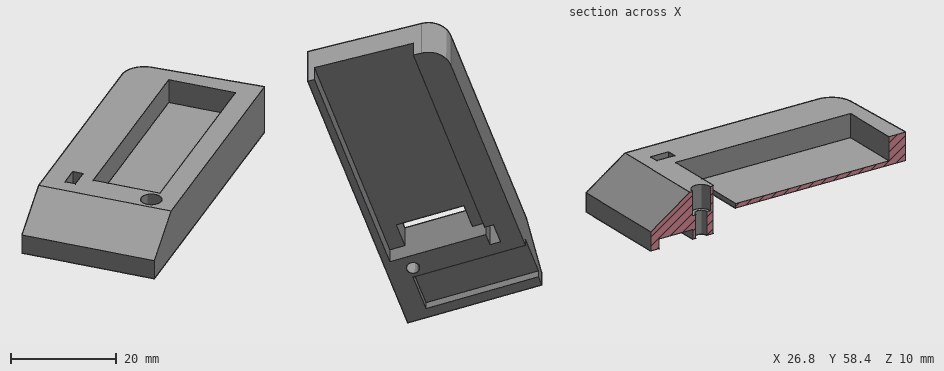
import cadquery as cq

WIDTH = 26.82
LENGTH = 58.44
HEIGHT = 10.0
LEFT = -WIDTH / 2
RIGHT = WIDTH / 2
FRONT = -LENGTH / 2
BACK = LENGTH / 2

BACK_EDGE_DROP = 1.05
CORNER_RADIUS = 4.5

NOSE_LENGTH = 8.9
NOSE_LIP_HEIGHT = 4.0

POCKET_WIDTH = 13.5
POCKET_LENGTH = 40.0
POCKET_DEPTH = 5.0
POCKET_RIGHT = RIGHT - 4.35
POCKET_LEFT = POCKET_RIGHT - POCKET_WIDTH
POCKET_FRONT = FRONT + 14.35
WINDOW_LENGTH = 5.0
CHANNEL_HEIGHT = 4.0
CHANNEL_SIDE_MARGIN = 3.0

SLOT_WIDTH = 2.1
SLOT_LENGTH = 4.1
SLOT_LEFT = LEFT + 4.2
SLOT_FRONT = FRONT + 11.9

SCREW_DIAMETER = 2.5
SCREW_HEAD_DIAMETER = 4.0
SCREW_HEAD_DEPTH = 5.0
SCREW_X = RIGHT - 5.05
SCREW_Y = FRONT + 11.6

GROOVE_FRONT = FRONT + 2.0
GROOVE_LENGTH = 7.6
GROOVE_HEIGHT = 2.0
GROOVE_END = POCKET_RIGHT


def box_between(x_range, y_range, z_range):
    """Box spanning the given (low, high) ranges."""
    lows, highs = zip(x_range, y_range, z_range)
    sizes = [high - low for low, high in zip(lows, highs)]
    return cq.Workplane("XY").box(*sizes, centered=False).translate(lows)


def make_body():
    """Block with a slanted back edge and one rounded back corner."""
    outline = [
        (LEFT, FRONT),
        (RIGHT, FRONT),
        (RIGHT, BACK),
        (LEFT, BACK - BACK_EDGE_DROP),
    ]
    block = cq.Workplane("XY").polyline(outline).close().extrude(HEIGHT)
    return block.edges("|Z").edges("<X").edges(">Y").fillet(CORNER_RADIUS)


def make_nose_cut():
    """Wedge above the sloped nose."""
    wedge = [
        (FRONT, NOSE_LIP_HEIGHT),
        (FRONT + NOSE_LENGTH, HEIGHT),
        (FRONT, HEIGHT),
    ]
    return cq.Workplane("YZ", origin=(LEFT, 0, 0)).polyline(wedge).close().extrude(WIDTH)


def make_pocket():
    """Top pocket, the window at its front end and the channel running out of the back."""
    x_range = (POCKET_LEFT, POCKET_RIGHT)
    channel_x_range = (POCKET_LEFT - CHANNEL_SIDE_MARGIN, POCKET_RIGHT + CHANNEL_SIDE_MARGIN)
    pocket_back = POCKET_FRONT + POCKET_LENGTH
    window_back = POCKET_FRONT + WINDOW_LENGTH
    pocket = box_between(x_range, (POCKET_FRONT, pocket_back), (HEIGHT - POCKET_DEPTH, HEIGHT))
    window = box_between(x_range, (POCKET_FRONT, window_back), (0, HEIGHT))
    channel = box_between(channel_x_range, (POCKET_FRONT, BACK), (0, CHANNEL_HEIGHT))
    return pocket.union(window).union(channel)


def make_slot():
    """Rectangular slot through the full height."""
    return box_between(
        (SLOT_LEFT, SLOT_LEFT + SLOT_WIDTH),
        (SLOT_FRONT, SLOT_FRONT + SLOT_LENGTH),
        (0, HEIGHT),
    )


def make_screw_hole():
    """Through hole with a counterbore from the top."""
    plane = cq.Workplane("XY", origin=(SCREW_X, SCREW_Y, 0))
    shank = plane.circle(SCREW_DIAMETER / 2).extrude(HEIGHT)
    head = plane.workplane(offset=HEIGHT).circle(SCREW_HEAD_DIAMETER / 2).extrude(-SCREW_HEAD_DEPTH)
    return shank.union(head)


def make_groove():
    """Groove in the underside behind the front lip."""
    return box_between(
        (LEFT, GROOVE_END),
        (GROOVE_FRONT, GROOVE_FRONT + GROOVE_LENGTH),
        (0, GROOVE_HEIGHT),
    )


result = make_body()
for cutter in (make_nose_cut(), make_pocket(), make_slot(), make_screw_hole(), make_groove()):
    result = result.cut(cutter)